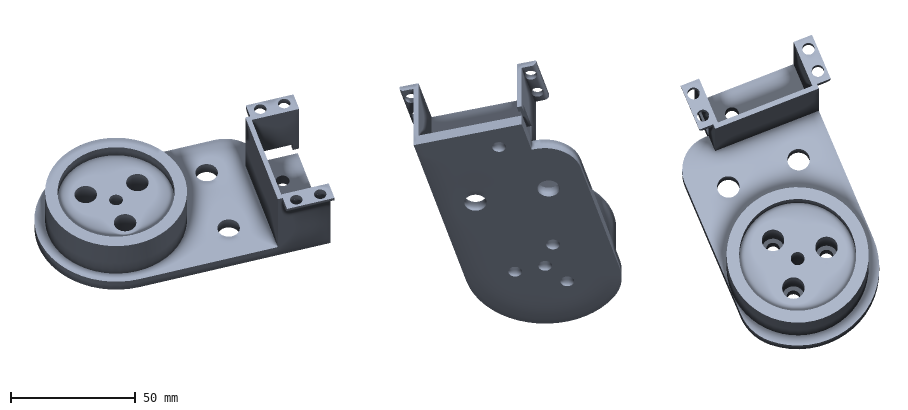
import cadquery as cq
import math

plate_thickness = 5.0
plate_end_radius = 32.8
plate_left = -28.5
plate_right = plate_end_radius
shoulder_y = 64.9
shoulder_radius = 15.0
blend_radius = 20.0

cup_diameter = 57.0
cup_bore_diameter = 47.0
cup_top = 22.0
cup_floor = 17.0

part_length = 112.7
part_height = 34.7
bracket_back = part_length - plate_end_radius
bracket_width = 45.0
bracket_left = plate_right - bracket_width
bracket_center_x = plate_right - bracket_width / 2
wall_thickness = 2.0
flange_length = 20.0
flange_overhang = 6.0
flange_thickness = 2.7
flange_edge_radius = 2.0
flange_front = bracket_back - flange_length
bracket_front = flange_front - wall_thickness

notch_top = 13.5
lip_bottom = 10.1
lip_length = 2.7

small_hole_diameter = 5.5
large_hole_diameter = 9.0
large_hole_left_x = -13.0
large_hole_spacing = 30.4
large_hole_y = 41.9
bracket_floor_hole_y = 69.9
screw_circle_radius = 12.5
screw_count = 3
counterbore_bottom = plate_thickness
flange_hole_diameter = 5.0
flange_hole_offset_x = 24.9
flange_hole_spacing = 10.0
flange_hole_center_y = flange_front + flange_length / 2


def box(x_min, x_max, y_min, y_max, z_min, z_max):
    size = (x_max - x_min, y_max - y_min, z_max - z_min)
    return cq.Workplane("XY").box(*size, centered=False).translate((x_min, y_min, z_min))


def cylinders(points, diameter, z_min, z_max):
    plane = cq.Workplane("XY").workplane(offset=z_min)
    return plane.pushPoints(points).circle(diameter / 2).extrude(z_max - z_min)


def make_plate():
    blend_x = plate_left + blend_radius
    center_distance = plate_end_radius - blend_radius
    blend_y = -math.sqrt(center_distance**2 - blend_x**2)
    blend_angle = math.atan2(blend_y, blend_x)
    middle_angle = (blend_angle - math.pi) / 2
    contact = (plate_end_radius * math.cos(blend_angle), plate_end_radius * math.sin(blend_angle))
    blend_middle = (
        blend_x + blend_radius * math.cos(middle_angle),
        blend_y + blend_radius * math.sin(middle_angle),
    )
    shoulder_inset = shoulder_radius * (1 - math.sqrt(0.5))
    return (
        cq.Workplane("XY")
        .moveTo(plate_right, 0)
        .lineTo(plate_right, bracket_back)
        .lineTo(bracket_left, bracket_back)
        .lineTo(bracket_left, shoulder_y)
        .lineTo(plate_left + shoulder_radius, shoulder_y)
        .threePointArc(
            (plate_left + shoulder_inset, shoulder_y - shoulder_inset),
            (plate_left, shoulder_y - shoulder_radius),
        )
        .lineTo(plate_left, blend_y)
        .threePointArc(blend_middle, contact)
        .threePointArc((0, -plate_end_radius), (plate_right, 0))
        .close()
        .extrude(plate_thickness)
    )


def make_cup():
    body = cylinders([(0, 0)], cup_diameter, 0, cup_top)
    return body.cut(cylinders([(0, 0)], cup_bore_diameter, cup_floor, cup_top))


def make_bracket():
    walls = box(bracket_left, plate_right, bracket_front, bracket_back, 0, part_height)
    flanges = box(
        bracket_left - flange_overhang, plate_right + flange_overhang,
        flange_front, bracket_back,
        part_height - flange_thickness, part_height,
    )
    flanges = flanges.edges("|Y and <Z").fillet(flange_edge_radius)
    interior = box(
        bracket_left + wall_thickness, plate_right - wall_thickness,
        flange_front, bracket_back,
        plate_thickness, part_height,
    )
    return walls.union(flanges).cut(interior)


def make_notch():
    notch_x = (bracket_left, bracket_left + wall_thickness)
    lip_front = bracket_back - lip_length
    tall = box(*notch_x, shoulder_y, lip_front, plate_thickness, notch_top)
    low = box(*notch_x, lip_front, bracket_back, plate_thickness, lip_bottom)
    return tall.union(low)


def cut_holes(part):
    screws = []
    for index in range(screw_count):
        angle = 2 * math.pi * index / screw_count
        screws.append((screw_circle_radius * math.cos(angle), screw_circle_radius * math.sin(angle)))
    small_holes = screws + [(0, 0), (0, bracket_floor_hole_y)]
    large_holes = [
        (large_hole_left_x, large_hole_y),
        (large_hole_left_x + large_hole_spacing, large_hole_y),
    ]
    flange_holes = [
        (bracket_center_x + x_side * flange_hole_offset_x,
         flange_hole_center_y + y_side * flange_hole_spacing / 2)
        for x_side in (-1, 1)
        for y_side in (-1, 1)
    ]
    flange_bottom = part_height - flange_thickness
    part = part.cut(cylinders(small_holes, small_hole_diameter, 0, cup_floor))
    part = part.cut(cylinders(screws, large_hole_diameter, counterbore_bottom, cup_floor))
    part = part.cut(cylinders(large_holes, large_hole_diameter, 0, plate_thickness))
    return part.cut(cylinders(flange_holes, flange_hole_diameter, flange_bottom, part_height))


solid_part = make_plate().union(make_cup()).union(make_bracket()).cut(make_notch())
result = cut_holes(solid_part)